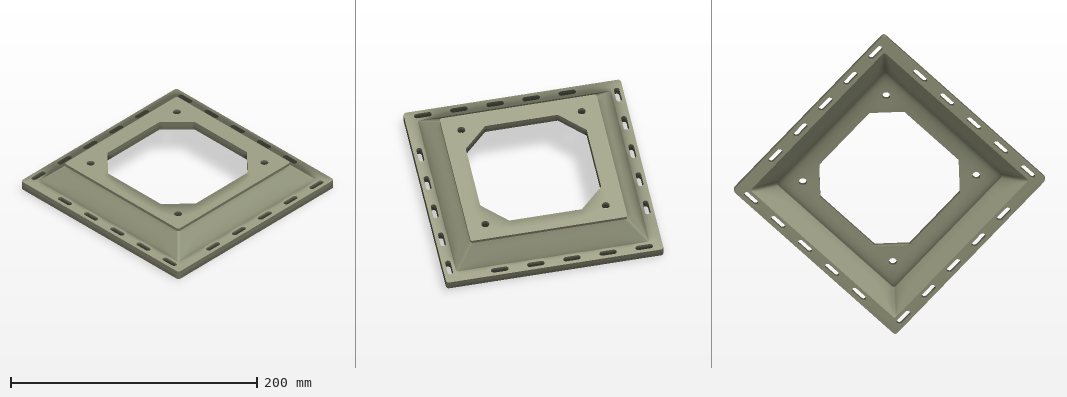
import cadquery as cq

side = 180.0
height = 25.0
wall = 7.5
flange_radius = 2.5

rim_height = 2.5
slope_height = height - wall - rim_height
top_side = 130.0
base_side = top_side + 2 * slope_height
boss_radius = 1.8

opening_side = 100.0
opening_chamfer = 20.0
hole_diameter = 6.5
hole_spacing = 99.7

slot_pitch = 29.9
slot_width = 4.5
slot_length = 14.4
slot_offset = 84.8
slots_per_side = 5
first_slot = -slot_pitch * slots_per_side / 2


def rounded_square(width, radius):
    """Square outline with rounded corners, centred on the Z axis."""
    return cq.Sketch().rect(width, width).vertices().fillet(radius)


def rounded_block(width, radius, bottom, thickness):
    """Square block with rounded vertical corners."""
    outline = rounded_square(width, radius)
    return cq.Workplane("XY").workplane(offset=bottom).placeSketch(outline).extrude(thickness)


def raised_body():
    """Sloped sides topped by a short upright rim, standing on the XY plane."""
    base = rounded_square(base_side, boss_radius)
    top = rounded_square(top_side, boss_radius).moved(cq.Location(cq.Vector(0, 0, slope_height)))
    slope = cq.Workplane("XY").placeSketch(base, top).loft(ruled=True)
    return slope.union(rounded_block(top_side, boss_radius, slope_height, rim_height))


def opening():
    """Octagonal window through the top plate."""
    window = cq.Workplane("XY").rect(opening_side, opening_side).extrude(height)
    return window.edges("|Z").chamfer(opening_chamfer)


def screw_holes():
    """One hole near each chamfered corner of the window."""
    return (
        cq.Workplane("XY")
        .rect(hole_spacing, hole_spacing, forConstruction=True)
        .vertices()
        .circle(hole_diameter / 2)
        .extrude(height)
    )


def slot_row():
    """Slots along the +Y edge, shifted towards -X."""
    places = [(first_slot + i * slot_pitch, slot_offset) for i in range(slots_per_side)]
    return cq.Workplane("XY").pushPoints(places).slot2D(slot_length, slot_width).extrude(wall)


raised = raised_body()
result = rounded_block(side, flange_radius, 0, wall)
result = result.union(raised.translate((0, 0, wall)))
result = result.cut(raised).cut(opening()).cut(screw_holes())
for quarter_turn in range(4):
    result = result.cut(slot_row().rotate((0, 0, 0), (0, 0, 1), 90 * quarter_turn))